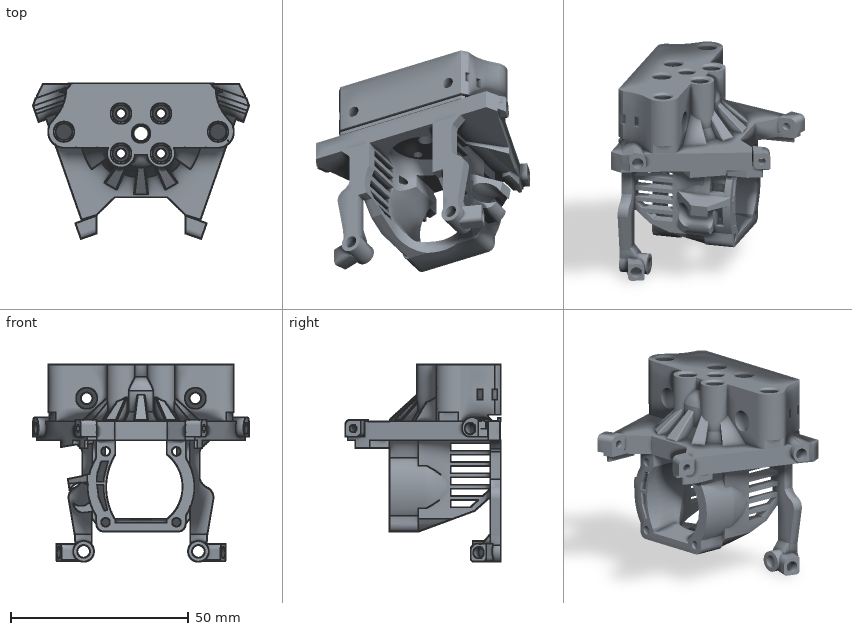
import cadquery as cq
import math


PLATE_DEPTH = 5.35
PLATE_BACK_Y = -0.2
SIDE_ANGLE = 19.3
LUG_BOTTOM_Z = -4.35
PLATE_FRONT_Y = -32.25
PLATE_FRONT_HALF = 7.45
ARM_INNER_X = 12.53
ARM_INNER_Y = -37.2
ARM_TIP = (16.84, -38.5)
REAR_STEP = (29.4, -3.6)
REAR_CORNER_X = 27.7

BLOCK_TOP_Z = 16.05
EAR_X, EAR_Y, EAR_RADIUS = 21.75, -13.7, 4.5
TRIM_Z = 2.6
SCREW_SPACING = 11.3
BORE_Y = -14.2
BOSS_RADIUS, BOSS_FOOT_RADIUS = 3.95, 5.9
FRONT_FACE_Y = EAR_Y - EAR_RADIUS
BRIDGE_Y = -20.2
CROSS_HOLE_X, CROSS_HOLE_Z = 15.35, 6.5
CROSS_HOLE_DIA, CROSS_BORE_DIA, CROSS_BORE_DEPTH = 3.2, 6.0, 12.0
INSERT_DIA, INSERT_DEPTH = 4.8, 8.0
EAR_HOLE_DIA, EAR_HOLE_DEPTH = 4.7, 10.0
POCKET_FRONTS_Y, POCKET_WIDTH, POCKET_INNER_X = (-2.5, -6.7), 1.5, 19.8
POCKET_BOTTOM_Z, POCKET_TOP_Z = 6.1, 9.1
SCREW_DIA, CENTRE_DIA, RIM_CHAMFER = 2.7, 4.2, 0.55

DOME_FOOT_RADIUS, DOME_RADIUS, DOME_TOP_RADIUS = 12.45, 9.6, 6.0
DOME_CROWN = (8.3, 11.1)
DOME_FOOT_Z, DOME_SHOULDER_Z, DOME_TOP_Z = 2.75, 8.7, 12.6
RIB_ANGLES = (-30, 0, 30)
GUSSET_ANGLES = (54, 85)
RIB_INNER_R, RIB_OUTER_R = 9.0, 17.2
RIB_INNER_WIDTH, RIB_OUTER_WIDTH = 2.2, 4.1
RIB_TOP_Z, RIB_TOE, RIB_CHAMFER = 8.0, 0.5, 0.3

BORE_DIA = 20.6
DUCT_FRONT_Y = -31.5
DUCT_BOTTOM_Z = -31.15
DUCT_HALF = 13.8
FAN_Z = -18.5
FAN_SPACING = 20.0
FAN_HOLE_DIA, UPPER_HOLE_DEPTH, LOWER_HOLE_DEPTH = 2.45, 15.0, 9.0
FLANGE_HALF, FLANGE_BACK_Y, FLANGE_CORNER = 12.65, -23.3, 2.2
RING_RADIUS, RING_BACK_Y, RING_TAPER_LENGTH = 15.05, -21.0, 6.0
TUNNEL_RADIUS = 11.7
TUNNEL_HALF, TUNNEL_LEFT = 7.2, 9.8
TUNNEL_FLOOR_Z = -27.5
FLOOR_FRONT_Z, FLOOR_BACK_Y = -28.7, -24.0
SLOT_BACK_Y, OUTLET_INNER_X = -25.2, 11.5
VENT_COUNT, VENT_PITCH = 6, 3.2
VENT_TOP_Z, VENT_HEIGHT = -6.25, 2.0
VENT_BACK_Y, VENT_FRONT_Y = -3.05, -14.1

CLAMP_X, CLAMP_Z, CLAMP_BORE_DIA = -17.0, -20.6, 6.6
CLAMP_FRONT_Y, CLAMP_BACK_Y = -26.3, -16.2
CLAMP_ROOT_RADIUS = 12.8

LEG_THICKNESS = 3.05
LEG_INNER_X = 13.85
FOOT_X, FOOT_Z = 16.2, -36.72
FOOT_RADIUS, FOOT_HOLE_DIA, FOOT_LENGTH = 2.95, 3.5, 8.0

LUG_HOLE_DIA, FRONT_LUG_HOLE_DIA = 3.2, 2.1
LUG_AXIS_Z = -2.03
TAB_INNER_X, TAB_BOTTOM_Z = 15.1, -7.55
REAR_LUG_END, REAR_LUG_LENGTH, REAR_HOLE_DEPTH = (-29.70, -8.7), 10.5, 8.0
FRONT_LUG_END, FRONT_LUG_LENGTH = (-17.78, -41.74), 7.0
FOOT_LUG_END, FOOT_LUG_Z, FOOT_LUG_LENGTH, FOOT_HOLE_DEPTH = (-23.2, -6.3), -37.08, 6.5, 4.5


def box(x0, x1, y0, y1, z0, z1):
    return cq.Workplane("XY").box(x1 - x0, y1 - y0, z1 - z0, centered=False).translate((x0, y0, z0))


def cylinder_z(x, y, diameter, z0, z1):
    return cq.Workplane("XY", origin=(x, y, z0)).circle(diameter / 2).extrude(z1 - z0)


def cylinder_y(x, z, diameter, y_front, y_back):
    return cq.Workplane("XZ", origin=(x, y_back, z)).circle(diameter / 2).extrude(y_back - y_front)


def prism_y(points, y_front, y_back):
    return cq.Workplane("XZ", origin=(0, y_back, 0)).polyline(points).close().extrude(y_back - y_front)


def prism_x(points, x0, x1):
    return cq.Workplane("YZ", origin=(x0, 0, 0)).polyline(points).close().extrude(x1 - x0)


def prism_z(points, z0, z1):
    return cq.Workplane("XY", origin=(0, 0, z0)).polyline(points).close().extrude(z1 - z0)


def both_sides(shape):
    return shape.union(shape.mirror("YZ"))


def mirrored(points):
    """Close a right-hand chain of points with its left-hand mirror image."""
    return points + [(-x, y) for x, y in reversed(points)]


def side_x(y):
    """Half width of the plate along its slanted side."""
    return ARM_TIP[0] + (y - ARM_TIP[1]) * math.tan(math.radians(SIDE_ANGLE))


def plate():
    rear_side = (side_x(-7.0), -7.0)
    right = [
        (REAR_CORNER_X, PLATE_BACK_Y), REAR_STEP, rear_side,
        ARM_TIP, (ARM_INNER_X, ARM_INNER_Y), (PLATE_FRONT_HALF, PLATE_FRONT_Y),
    ]
    body = prism_z(mirrored(right), -PLATE_DEPTH, 0)
    corner = [(-REAR_CORNER_X, PLATE_BACK_Y), (-30.59, -6.34), (-26, -8), (-20, PLATE_BACK_Y)]
    return body.union(both_sides(prism_z(corner, LUG_BOTTOM_Z, 0)))


def lug_body(back, front, bottom, top, length):
    """Bar along X; the Y and Z sizes are measured from the axis of its hole."""
    return box(0, length, -front, back, -bottom, top)


def turn_to_side(shape, end, axis_z):
    """Square a bar to the left plate side and put its outer end in place."""
    return shape.rotate((0, 0, 0), (0, 0, 1), SIDE_ANGLE).translate((end[0], end[1], axis_z))


def drill_lug(diameter, depth, end, axis_z):
    hole = cq.Workplane("YZ").circle(diameter / 2).extrude(depth)
    return both_sides(turn_to_side(hole, end, axis_z))


def rear_lug():
    lug = lug_body(2.4, 2.4, 2.32, 3.2, REAR_LUG_LENGTH)
    lug = lug.edges("|X and <Y and >Z").fillet(3.0)
    lug = lug.edges("|X and <Y and <Z").fillet(2.3)
    slope = prism_x([(0, 0), (4.2, 0), (4.2, 2.03), (0.9, 3.2), (0, 3.2)], 0, REAR_LUG_LENGTH)
    end_cut = prism_z([(-1, 2.4), (0, 2.4), (1.6, 4.6), (-1, 4.6)], -5, 5)
    lug = lug.edges("|X and >Y and >Z").chamfer(1.4, 0.5).union(slope.cut(end_cut))
    return both_sides(turn_to_side(lug, REAR_LUG_END, LUG_AXIS_Z))


def front_lug():
    lug = lug_body(2.35, 2.4, 2.32, 2.45, FRONT_LUG_LENGTH)
    lug = lug.edges("|X and <Y and >Z").fillet(1.5)
    lug = lug.edges("|X and >Y and <Z").fillet(1.4)
    lug = turn_to_side(lug, FRONT_LUG_END, LUG_AXIS_Z)
    return both_sides(lug.cut(box(-ARM_INNER_X, 0, -50, -30, -9, 5)))


def foot_lug():
    lug = lug_body(2.3, 2.4, 2.45, 2.5, FOOT_LUG_LENGTH)
    lug = lug.edges("|X and <Y and >Z").fillet(1.8)
    lug = lug.edges("|X and >Y and <Z").fillet(1.0)
    lug = lug.edges("|X and <Y and <Z").chamfer(0.5)
    return both_sides(turn_to_side(lug, FOOT_LUG_END, FOOT_LUG_Z))


def block_outline():
    tangent = math.radians(150)
    ear_start = (-EAR_X + EAR_RADIUS * math.cos(tangent), EAR_Y + EAR_RADIUS * math.sin(tangent))
    diagonal = EAR_RADIUS * math.sqrt(0.5)
    half = (
        cq.Workplane("XY")
        .moveTo(0, 0).lineTo(-19.6, 0).lineTo(-21.05, -1.7)
        .threePointArc((-21.9, -5.8), (-24.0, -9.4)).lineTo(*ear_start)
        .threePointArc((-EAR_X - diagonal, EAR_Y - diagonal), (-EAR_X, FRONT_FACE_Y))
        .lineTo(0, FRONT_FACE_Y).close().extrude(BLOCK_TOP_Z)
    )
    return both_sides(half)


def screw_points():
    half = SCREW_SPACING / 2
    return [(sx * half, BORE_Y + sy * half) for sx in (-1, 1) for sy in (-1, 1)]


def block():
    body = block_outline()
    trim = prism_z(mirrored([(side_x(0), 1), (side_x(-30), -30)]), -1, TRIM_Z)
    full = box(-40, 40, -30, 1, TRIM_Z, BLOCK_TOP_Z + 1)
    body = body.intersect(trim.union(full))
    half = SCREW_SPACING / 2
    boss_y = BORE_Y - half
    for x in (-half, half):
        body = body.union(cylinder_z(x, boss_y, 2 * BOSS_RADIUS, 0, BLOCK_TOP_Z))
        foot = cq.Workplane("XY", origin=(x, boss_y, 0)).circle(BOSS_FOOT_RADIUS)
        body = body.union(foot.workplane(offset=DOME_FOOT_Z).circle(BOSS_RADIUS).loft())
    return body.union(box(-half, half, BRIDGE_Y, FRONT_FACE_Y + 1, 0, BLOCK_TOP_Z))


def dome():
    profile = (
        cq.Workplane("XZ")
        .lineTo(DOME_FOOT_RADIUS, 0).lineTo(DOME_RADIUS, DOME_FOOT_Z).lineTo(DOME_RADIUS, DOME_SHOULDER_Z)
        .threePointArc(DOME_CROWN, (DOME_TOP_RADIUS, DOME_TOP_Z)).lineTo(0, DOME_TOP_Z).close()
    )
    return profile.revolve(360, (0, 0), (0, 1)).translate((0, BORE_Y, 0))


def ribs():
    side = prism_x(
        [(0, 0), (-RIB_OUTER_R, 0), (-RIB_OUTER_R, RIB_TOE), (-RIB_INNER_R, RIB_TOP_Z), (0, RIB_TOP_Z)],
        -RIB_OUTER_WIDTH, RIB_OUTER_WIDTH,
    )
    plan = [(RIB_INNER_WIDTH / 2, -RIB_INNER_R), (RIB_OUTER_WIDTH / 2, -RIB_OUTER_R)]
    rib = side.intersect(prism_z(mirrored(plan), 0, RIB_TOP_Z))
    around_slope = cq.selectors.BoxSelector((-5, -15, 2), (5, -11, 6))
    rib = rib.edges(around_slope).chamfer(RIB_CHAMFER)
    group = both_sides(gusset())
    for angle in RIB_ANGLES:
        group = group.union(rib.rotate((0, 0, 0), (0, 0, 1), angle))
    return group.translate((0, BORE_Y, 0))


def gusset():
    """Sector of a cone about the Z axis, on the right of the middle plane."""
    start, stop = GUSSET_ANGLES
    profile = [(0, 0), (RIB_OUTER_R, 0), (RIB_INNER_R, RIB_TOP_Z), (0, RIB_TOP_Z)]
    sector = cq.Workplane("XZ").polyline(profile).close().revolve(stop - start, (0, 0), (0, 1))
    return sector.rotate((0, 0, 0), (0, 0, 1), start - 90)


def top_hole(x, y, diameter, depth):
    hole = cylinder_z(x, y, diameter, BLOCK_TOP_Z - depth, BLOCK_TOP_Z)
    rim = cq.Workplane("XY", origin=(x, y, BLOCK_TOP_Z)).circle(diameter / 2 + RIM_CHAMFER)
    rim = rim.workplane(offset=-RIM_CHAMFER).circle(diameter / 2).loft()
    return hole.union(rim)


def block_holes():
    cuts = top_hole(0, BORE_Y, CENTRE_DIA, BLOCK_TOP_Z)
    for x, y in screw_points():
        cuts = cuts.union(top_hole(x, y, INSERT_DIA, INSERT_DEPTH))
        cuts = cuts.union(cylinder_z(x, y, SCREW_DIA, -PLATE_DEPTH, BLOCK_TOP_Z))
    for x in (-EAR_X, EAR_X):
        cuts = cuts.union(top_hole(x, EAR_Y, EAR_HOLE_DIA, EAR_HOLE_DEPTH))
    for x in (-CROSS_HOLE_X, CROSS_HOLE_X):
        cuts = cuts.union(cylinder_y(x, CROSS_HOLE_Z, CROSS_HOLE_DIA, FRONT_FACE_Y, 0))
        cuts = cuts.union(
            cylinder_y(x, CROSS_HOLE_Z, CROSS_BORE_DIA, FRONT_FACE_Y, FRONT_FACE_Y + CROSS_BORE_DEPTH)
        )
    return cuts


def tie_slots():
    """Slot across the back foot of the block and two small pockets in each of its ends."""
    section = [(1, 1.8), (-3.6, 1.8), (-3.5, 1.2), (-2.5, 0.2), (-0.9, 0.2), (-0.9, 1.0), (1, 1.0)]
    cuts = prism_x(section, -40, 40)
    for y in POCKET_FRONTS_Y:
        pocket = box(-26, -POCKET_INNER_X, y, y + POCKET_WIDTH, POCKET_BOTTOM_Z, POCKET_TOP_Z)
        cuts = cuts.union(both_sides(pocket))
    return cuts


def duct():
    right = [
        (DUCT_HALF, -PLATE_DEPTH), (DUCT_HALF, -27.5), (FLANGE_HALF, DUCT_BOTTOM_Z + FLANGE_CORNER),
        (FLANGE_HALF - FLANGE_CORNER, DUCT_BOTTOM_Z),
    ]
    body = prism_y(mirrored(right), FLANGE_BACK_Y, 0)
    flange = box(-FLANGE_HALF, FLANGE_HALF, DUCT_FRONT_Y, FLANGE_BACK_Y, DUCT_BOTTOM_Z, -PLATE_DEPTH)
    flange = flange.edges("|Y and <Z").fillet(FLANGE_CORNER)
    ring = cylinder_y(0, FAN_Z, 2 * RING_RADIUS, DUCT_FRONT_Y, RING_BACK_Y)
    taper = cq.Workplane("XZ", origin=(0, RING_BACK_Y, FAN_Z)).circle(RING_RADIUS)
    taper = taper.workplane(offset=-RING_TAPER_LENGTH).circle(DUCT_HALF).loft()
    side = [
        (0, -PLATE_DEPTH), (DUCT_FRONT_Y, -PLATE_DEPTH), (DUCT_FRONT_Y, DUCT_BOTTOM_Z),
        (FLANGE_BACK_Y, DUCT_BOTTOM_Z), (-7.4, -25.3), (-3.5, -21.8), (0, -21.8),
    ]
    return body.union(flange).union(ring).union(taper).intersect(prism_x(side, -20, 20))


def duct_cuts():
    dz = math.sqrt(TUNNEL_RADIUS**2 - TUNNEL_HALF**2)
    floor_x = math.sqrt(TUNNEL_RADIUS**2 - (TUNNEL_FLOOR_Z - FAN_Z) ** 2)
    tunnel = (
        cq.Workplane("XZ")
        .moveTo(-TUNNEL_HALF, -PLATE_DEPTH).lineTo(TUNNEL_HALF, -PLATE_DEPTH).lineTo(TUNNEL_HALF, FAN_Z + dz)
        .threePointArc((TUNNEL_RADIUS, FAN_Z), (floor_x, TUNNEL_FLOOR_Z)).lineTo(-floor_x, TUNNEL_FLOOR_Z)
        .threePointArc((-TUNNEL_LEFT, FAN_Z), (-TUNNEL_HALF, FAN_Z + dz)).close().extrude(-DUCT_FRONT_Y)
    )
    floor_side = [
        (DUCT_FRONT_Y, FLOOR_FRONT_Z), (FLOOR_BACK_Y, TUNNEL_FLOOR_Z),
        (FLOOR_BACK_Y, FAN_Z), (DUCT_FRONT_Y, FAN_Z),
    ]
    floor = prism_x(floor_side, -TUNNEL_HALF, TUNNEL_HALF)
    bore = cylinder_z(0, BORE_Y, BORE_DIA, DUCT_BOTTOM_Z, 0)
    back = box(-BORE_DIA / 2, BORE_DIA / 2, BORE_Y, 0, DUCT_BOTTOM_Z, -PLATE_DEPTH)
    cuts = tunnel.union(floor).union(bore).union(back)
    for x in (-FAN_SPACING / 2, FAN_SPACING / 2):
        for rise, depth in ((FAN_SPACING / 2, UPPER_HOLE_DEPTH), (-FAN_SPACING / 2, LOWER_HOLE_DEPTH)):
            hole = cylinder_y(x, FAN_Z + rise, FAN_HOLE_DIA, DUCT_FRONT_Y, DUCT_FRONT_Y + depth)
            cuts = cuts.union(hole)
    return cuts


def vents():
    cuts = cq.Workplane("XY")
    for i in range(VENT_COUNT):
        top = VENT_TOP_Z - i * VENT_PITCH
        cuts = cuts.union(box(-18, 18, VENT_FRONT_Y, VENT_BACK_Y, top - VENT_HEIGHT, top))
    keep = prism_x([(-3, -19.1), (-8.5, -24.1), (-8.5, -30), (-3, -30)], -20, 20)
    return cuts.cut(keep)


def air_slots():
    """Two slots through the left face of the fan ring, each open to the outside of the ring."""
    upper = [(-11.2, -11.3), (-9.3, -11.3), (-10.5, -16.0), (-10.5, -17.0), (-12.5, -17.0), (-12.4, -14.9)]
    lower = [(-12.4, -17.9), (-10.6, -17.9), (-10.4, -21.0), (-9.5, -25.0), (-10.3, -25.3), (-12.0, -21.3)]
    cuts = prism_y(upper, DUCT_FRONT_Y, SLOT_BACK_Y).union(prism_y(lower, DUCT_FRONT_Y, SLOT_BACK_Y))
    upper_outlet = box(-16, -OUTLET_INNER_X, -29.6, SLOT_BACK_Y, -14.4, -8.6)
    lower_outlet = box(-16, -OUTLET_INNER_X, -29.3, -27.0, -24.2, -17.9)
    return cuts.union(upper_outlet).union(lower_outlet)


def cradle():
    """Open clamp on the left of the duct for a round cable, with an upper and a lower jaw."""
    inner_x, tip_x = -12, -20.7
    top = [(inner_x, -14.9), (-14.8, -14.9), (-17, -15.5), (tip_x, -16.25)]
    jaws = (
        cq.Workplane("XZ", origin=(0, CLAMP_BACK_Y, 0))
        .polyline(top).lineTo(-20.2, -19.4).lineTo(-18.6, -18.2).lineTo(-15, CLAMP_Z)
        .lineTo(-18.2, -23.2).lineTo(-19.2, -22.9)
        .threePointArc((-18.4, -24.8), (-16.6, -25.8)).lineTo(inner_x, -25.3).close()
        .extrude(CLAMP_BACK_Y - CLAMP_FRONT_Y)
    )
    roof = prism_y(top + [(-20.4, -17.6), (-17, -17.3), (inner_x, -17.1)], DUCT_FRONT_Y, CLAMP_BACK_Y + 1)
    plan = [
        (inner_x, CLAMP_BACK_Y + 1), (-13.8, CLAMP_BACK_Y + 0.6), (tip_x, -21.8), (tip_x, CLAMP_FRONT_Y),
        (-15.2, DUCT_FRONT_Y), (inner_x, DUCT_FRONT_Y),
    ]
    body = jaws.union(roof).intersect(prism_z(plan, -27, -14))
    return body.cut(cylinder_y(0, FAN_Z, 2 * CLAMP_ROOT_RADIUS, DUCT_FRONT_Y, 0))


def cable_bore():
    return cylinder_y(CLAMP_X, CLAMP_Z, CLAMP_BORE_DIA, CLAMP_FRONT_Y, CLAMP_BACK_Y)


def leg():
    outline = (
        cq.Workplane("XZ")
        .moveTo(-LEG_INNER_X + 1, -PLATE_DEPTH).lineTo(-19.4, -PLATE_DEPTH).lineTo(-16.9, -7.7)
        .lineTo(-16.6, -8.6).lineTo(-16.6, -16.3).threePointArc((-17.4, -17.7), (-18.7, -18.7))
        .threePointArc((-20.1, -20.0), (-20.5, -21.8)).lineTo(-18.7, -32.3).lineTo(-18.5, FOOT_Z)
        .lineTo(-LEG_INNER_X, FOOT_Z).lineTo(-LEG_INNER_X, -21.8).lineTo(-LEG_INNER_X + 1, -21.8).close()
        .extrude(LEG_THICKNESS)
    )
    foot = cylinder_y(-FOOT_X, FOOT_Z, 2 * FOOT_RADIUS, -FOOT_LENGTH, 0)
    web = prism_x([(-2, -31.2), (-3, -31.8), (-5, -34.2), (-5, FOOT_Z), (-2, FOOT_Z)], -18.5, -LEG_INNER_X)
    return outline.union(foot).union(web)


def under_tabs():
    back, middle, front, strip_front = DUCT_FRONT_Y, -37.1, -41.2, -43.25
    flush = [(-side_x(y), y) for y in (middle, front)]
    tab = prism_z(flush + [(-TAB_INNER_X, front), (-TAB_INNER_X, middle)], TAB_BOTTOM_Z, LUG_BOTTOM_Z)
    tab = tab.union(box(-side_x(middle), -TAB_INNER_X, middle, back, TAB_BOTTOM_Z, -PLATE_DEPTH))
    strip = [(-side_x(y), y) for y in (middle, strip_front)]
    strip += [(-ARM_INNER_X, strip_front + 1), (-ARM_INNER_X, middle)]
    tab = tab.union(prism_z(strip, -PLATE_DEPTH, LUG_BOTTOM_Z))
    return both_sides(tab)


def left_rail():
    """Thin rail below the left side of the plate, opposite the upper jaw of the clamp."""
    rail = prism_y([(-23, -5), (-23, -7.4), (-18, -6.5), (-13.5, -6.3), (-13.5, -5)], DUCT_FRONT_Y, -12)
    side = prism_z(
        [(-13, -12.2), (-side_x(-22), -22), (-side_x(DUCT_FRONT_Y), DUCT_FRONT_Y), (-13, DUCT_FRONT_Y)], -9, 0
    )
    return rail.intersect(side)


def lug_holes():
    rear = drill_lug(LUG_HOLE_DIA, REAR_HOLE_DEPTH, REAR_LUG_END, LUG_AXIS_Z)
    front = drill_lug(FRONT_LUG_HOLE_DIA, FRONT_LUG_LENGTH, FRONT_LUG_END, LUG_AXIS_Z)
    foot = drill_lug(LUG_HOLE_DIA, FOOT_HOLE_DEPTH, FOOT_LUG_END, FOOT_LUG_Z)
    foot_bore = both_sides(cylinder_y(-FOOT_X, FOOT_Z, FOOT_HOLE_DIA, -FOOT_LENGTH, 0))
    return rear.union(front).union(foot).union(foot_bore)


result = plate().union(block()).union(dome()).union(ribs())
result = result.cut(cylinder_z(0, BORE_Y, BORE_DIA, -PLATE_DEPTH, 0))

result = result.union(duct().cut(duct_cuts())).union(both_sides(leg()))
result = result.union(under_tabs()).union(left_rail()).union(cradle())
result = result.cut(vents()).cut(air_slots()).cut(cable_bore())

result = result.union(rear_lug()).union(front_lug()).union(foot_lug())
result = result.cut(lug_holes()).cut(block_holes()).cut(tie_slots())